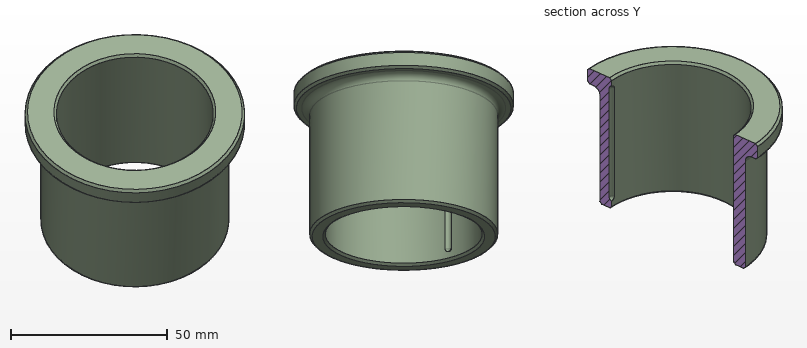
import cadquery as cq

bore_diameter = 50.0
body_diameter = 60.0
flange_diameter = 70.0
overall_height = 50.0
flange_thickness = 6.0

edge_chamfer = 0.8
neck_fillet = 2.5

groove_cutter_diameter = 2.5
groove_depth = 1.0
groove_end_margin = 3.0

bore_radius = bore_diameter / 2
body_radius = body_diameter / 2
flange_radius = flange_diameter / 2
flange_underside = overall_height - flange_thickness
groove_radius = groove_cutter_diameter / 2
groove_axis_x = bore_radius + groove_depth - groove_radius


def make_flanged_body():
    """Solid shank with a flange on top, chamfered rims and a filleted neck."""
    section = (
        cq.Workplane("XZ")
        .moveTo(0, 0)
        .lineTo(body_radius - edge_chamfer, 0)
        .lineTo(body_radius, edge_chamfer)
        .lineTo(body_radius, flange_underside - neck_fillet)
        .radiusArc((body_radius + neck_fillet, flange_underside), neck_fillet)
        .lineTo(flange_radius - edge_chamfer, flange_underside)
        .lineTo(flange_radius, flange_underside + edge_chamfer)
        .lineTo(flange_radius, overall_height - edge_chamfer)
        .lineTo(flange_radius - edge_chamfer, overall_height)
        .lineTo(0, overall_height)
        .close()
    )
    return section.revolve(360, (0, 0, 0), (0, 1, 0))


def make_bore():
    """Through bore with a chamfer at both mouths."""
    mouth_radius = bore_radius + edge_chamfer
    profile = [
        (0, 0),
        (mouth_radius, 0),
        (bore_radius, edge_chamfer),
        (bore_radius, overall_height - edge_chamfer),
        (mouth_radius, overall_height),
        (0, overall_height),
    ]
    return cq.Workplane("XZ").polyline(profile).close().revolve(360, (0, 0, 0), (0, 1, 0))


def make_groove():
    """Round channel with spherical ends, stopping short of both bore mouths."""
    lower_end_z = groove_end_margin + groove_radius
    upper_end_z = overall_height - lower_end_z
    groove = (
        cq.Workplane("XY")
        .workplane(offset=lower_end_z)
        .center(groove_axis_x, 0)
        .circle(groove_radius)
        .extrude(upper_end_z - lower_end_z)
    )
    for end_z in (lower_end_z, upper_end_z):
        ball = cq.Workplane("XY").sphere(groove_radius).translate((groove_axis_x, 0, end_z))
        groove = groove.union(ball)
    return groove


result = make_flanged_body().cut(make_bore()).cut(make_groove())